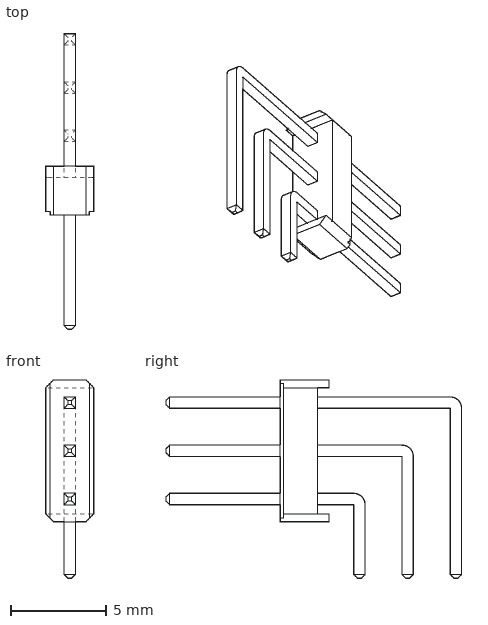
import cadquery as cq


PIN_COUNT = 3
PITCH = 2.53
PIN_SIZE = 0.6
TIP_CHAMFER = 0.2
TOTAL_LENGTH = 15.54
TOTAL_HEIGHT = 10.43

HOUSING_WIDTH = PITCH
HOUSING_DEPTH = 2.58
HOUSING_HEIGHT = 7.46
HOUSING_FRONT = 6.0
CORNER_CHAMFER = 0.42
STEP_WIDTH = 0.23
STEP_DEPTH = 0.19
CHANNEL_DEPTH = 0.6

HOUSING_BACK = HOUSING_FRONT + HOUSING_DEPTH
HOUSING_BOTTOM = TOTAL_HEIGHT - HOUSING_HEIGHT
HOUSING_MIDDLE = HOUSING_BOTTOM + HOUSING_HEIGHT / 2


def block(width, front, back, bottom, top, center_x=0):
    """Box centred on center_x and spanning the given Y and Z limits."""
    box = cq.Workplane("XY").box(width, back - front, top - bottom, centered=(True, False, False))
    return box.translate((center_x, front, bottom))


def make_housing():
    housing = block(HOUSING_WIDTH, HOUSING_FRONT, HOUSING_BACK, HOUSING_BOTTOM, TOTAL_HEIGHT)
    housing = housing.edges("|Y").chamfer(CORNER_CHAMFER)

    channel = block(
        HOUSING_WIDTH,
        HOUSING_BACK - CHANNEL_DEPTH,
        HOUSING_BACK,
        HOUSING_BOTTOM + CORNER_CHAMFER,
        TOTAL_HEIGHT - CORNER_CHAMFER,
    )
    housing = housing.cut(channel)

    for side in (-1, 1):
        step = block(
            STEP_WIDTH,
            HOUSING_FRONT,
            HOUSING_FRONT + STEP_DEPTH,
            HOUSING_BOTTOM,
            TOTAL_HEIGHT,
            side * (HOUSING_WIDTH - STEP_WIDTH) / 2,
        )
        housing = housing.cut(step)
    return housing


def make_pin(back, center_z):
    """L-shaped pin with tapered tips, a rounded outer bend and a sharp inner bend."""
    top = center_z + PIN_SIZE / 2
    arm = block(PIN_SIZE, 0, back, top - PIN_SIZE, top)
    arm = arm.faces("<Y").chamfer(TIP_CHAMFER)
    leg = block(PIN_SIZE, back - PIN_SIZE, back, 0, top)
    leg = leg.faces("<Z").chamfer(TIP_CHAMFER)
    outer_corner = ">(0, 1, 1)"
    return arm.union(leg).clean().edges("|X").edges(outer_corner).fillet(PIN_SIZE)


result = make_housing()
for row in range(PIN_COUNT):
    rows_below_top = PIN_COUNT - 1 - row
    pin_z = HOUSING_MIDDLE + (row - (PIN_COUNT - 1) / 2) * PITCH
    result = result.union(make_pin(TOTAL_LENGTH - rows_below_top * PITCH, pin_z))